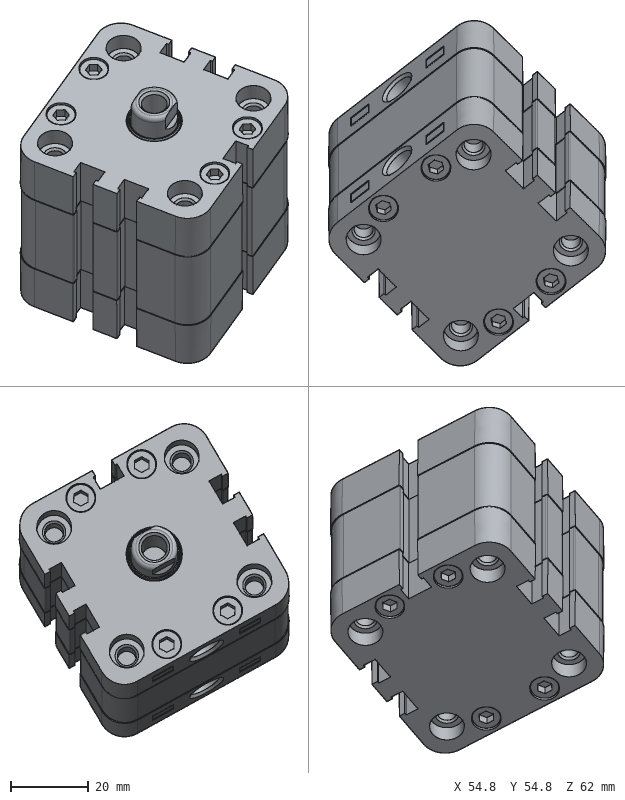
import cadquery as cq
import math

total_height = 62.0
cap_height = 14.5
body_height = 55.0
lower_joint_z = cap_height
upper_joint_z = body_height - cap_height

cap_width = 54.8
cap_draft = 0.1
cap_corner_radius = 6.8
barrel_width = 54.4
barrel_corner_radius = 6.8

slot_offset = 6.4
slot_depth = 5.45
slot_lip = 1.8
cap_slot_mouth = 5.75
cap_slot_chamber = 7.05
barrel_slot_narrowing = 0.3
barrel_lip_fillet = 0.25

mount_spacing = 37.95
mount_bore_diameter = 9.0
mount_bore_depth = 4.95
mount_chamfer_diameter = 6.0
mount_core_diameter = 4.9
mount_core_depth = 9.9

screw_x = 22.45
screw_y = 9.05
screw_recess_diameter = 7.7
screw_recess_depth = 4.95
screw_head_diameter = 7.5
screw_head_sink = 0.5
screw_head_chamfer = 0.1
socket_across_flats = 3.65
socket_depth = 2.5

port_setback = 8.0
port_diameter = 8.55
port_mouth_diameter = 10.2
port_end_diameter = 40.0

label_length = 6.15
label_height = 4.3
label_offset = 12.95
label_setback = 7.25
label_floor = 27.1

rod_diameter = 12.0
rod_tip_fillet = 1.25
rod_flats_width = 10.0
rod_flats_length = 4.5
rod_thread_diameter = 6.65
rod_thread_mouth_diameter = 8.0
rod_thread_depth = 12.4
seal_mouth_diameter = 14.5
seal_groove_diameter = 14.0
seal_lip_diameter = 13.7
seal_lip_top_diameter = 13.15
seal_groove_depth = 0.5
rod_clearance_diameter = 12.5
rod_clearance_depth = 2.5


def cylinder(diameter, bottom, top):
    return cq.Workplane("XY").workplane(offset=bottom).circle(diameter / 2).extrude(top - bottom)


def widening_cone(small_diameter, large_diameter, top):
    """45-degree cone that opens upward to the large diameter at height top."""
    depth = (large_diameter - small_diameter) / 2
    return (
        cq.Workplane("XY")
        .workplane(offset=top - depth)
        .circle(small_diameter / 2)
        .workplane(offset=depth)
        .circle(large_diameter / 2)
        .loft()
    )


def slot_section(mouth, chamber, height):
    """T-slot on the +Y side at x = 0, with its mouth open to the outside."""
    side = cap_width / 2
    chamber_depth = slot_depth - slot_lip
    neck = cq.Workplane("XY").box(mouth, slot_depth, height, centered=(True, False, False))
    cavity = cq.Workplane("XY").box(chamber, chamber_depth, height, centered=(True, False, False))
    return neck.union(cavity).translate((0, side - slot_depth, 0))


def all_slots(mouth, chamber, height):
    """Two slots on each Y side and one in the middle of the +X side."""
    slot = slot_section(mouth, chamber, height)
    slots = slot.rotate((0, 0, 0), (0, 0, 1), -90)
    for turn in (0, 180):
        for x in (-slot_offset, slot_offset):
            slots = slots.union(slot.translate((x, 0, 0)).rotate((0, 0, 0), (0, 0, 1), turn))
    return slots


def mounting_hole():
    floor = cap_height - mount_bore_depth
    hole = cylinder(mount_bore_diameter, floor, cap_height)
    hole = hole.union(cylinder(mount_core_diameter, cap_height - mount_core_depth, floor))
    return hole.union(widening_cone(mount_core_diameter, mount_chamfer_diameter, floor))


def screw_head():
    bottom = cap_height - screw_recess_depth
    top = cap_height - screw_head_sink
    head = cylinder(screw_head_diameter, bottom, top).faces(">Z").chamfer(screw_head_chamfer)
    socket = (
        cq.Workplane("XY")
        .workplane(offset=top - socket_depth)
        .polygon(6, socket_across_flats / math.cos(math.pi / 6))
        .extrude(socket_depth)
        .rotate((0, 0, 0), (0, 0, 1), 30)
    )
    return head.cut(socket)


def air_port():
    """Port along X, chamfered at the side face and closed by an upright cylinder."""
    side = cap_width / 2
    port = cylinder(port_diameter, 0, side)
    port = port.union(widening_cone(port_diameter, port_mouth_diameter, side))
    port = port.rotate((0, 0, 0), (0, 1, 0), -90).translate((0, 0, cap_height - port_setback))
    return port.cut(cylinder(port_end_diameter, 0, cap_height))


def label_pocket(y):
    return cq.Workplane("XY").box(
        cap_width / 2 - label_floor, label_length, label_height, centered=(False, True, True)
    ).translate((-cap_width / 2, y, cap_height - label_setback))


def end_cap():
    """Cap standing on its joint face at z = 0, with its outer end at the top."""
    draft_angle = math.degrees(math.atan(cap_draft / cap_height))
    outline = cq.Sketch().rect(cap_width, cap_width).vertices().fillet(cap_corner_radius)
    cap = cq.Workplane("XY").placeSketch(outline).extrude(cap_height, taper=draft_angle)
    cap = cap.cut(all_slots(cap_slot_mouth, cap_slot_chamber, cap_height))
    cap = cap.cut(air_port())

    for y in (-label_offset, label_offset):
        cap = cap.cut(label_pocket(y))

    for x in (-mount_spacing / 2, mount_spacing / 2):
        for y in (-mount_spacing / 2, mount_spacing / 2):
            cap = cap.cut(mounting_hole().translate((x, y, 0)))

    recess = cylinder(screw_recess_diameter, cap_height - screw_recess_depth, cap_height)
    for x in (-screw_x, screw_x):
        for y in (-screw_y, screw_y):
            cap = cap.cut(recess.translate((x, y, 0)))
            cap = cap.union(screw_head().translate((x, y, 0)))
    return cap


def seal_groove():
    """Chamfered recess around the rod, leaving a tapered lip with a flat top."""
    groove_floor = cap_height - seal_groove_depth
    lip = (
        cq.Workplane("XY")
        .workplane(offset=groove_floor)
        .circle(seal_lip_diameter / 2)
        .workplane(offset=seal_groove_depth)
        .circle(seal_lip_top_diameter / 2)
        .loft()
    )
    groove = cylinder(seal_groove_diameter, groove_floor, cap_height)
    groove = groove.union(widening_cone(seal_groove_diameter, seal_mouth_diameter, cap_height))
    return groove.cut(lip)


def rod_passage():
    """Close-fitting bearing below, with clearance around the rod at the outer end."""
    clearance = cylinder(rod_clearance_diameter, cap_height - rod_clearance_depth, cap_height)
    return cylinder(rod_diameter, 0, cap_height).union(clearance)


def make_upper_cap():
    return end_cap().cut(rod_passage()).cut(seal_groove()).translate((0, 0, upper_joint_z))


def make_lower_cap():
    return end_cap().rotate((0, 0, 0), (1, 0, 0), 180).translate((0, 0, lower_joint_z))


def make_barrel():
    height = upper_joint_z - lower_joint_z
    outline = cq.Sketch().rect(barrel_width, barrel_width).vertices().fillet(barrel_corner_radius)
    mouth = cap_slot_mouth - barrel_slot_narrowing
    chamber = cap_slot_chamber - barrel_slot_narrowing
    barrel = cq.Workplane("XY").placeSketch(outline).extrude(height)
    barrel = barrel.cut(all_slots(mouth, chamber, height))

    side = barrel_width / 2
    lip_edges = [(side, sign * mouth / 2) for sign in (-1, 1)]
    for y in (-side, side):
        for x in (-slot_offset, slot_offset):
            lip_edges += [(x + sign * mouth / 2, y) for sign in (-1, 1)]
    for x, y in lip_edges:
        barrel = barrel.edges(cq.NearestToPointSelector((x, y, height / 2))).fillet(barrel_lip_fillet)
    return barrel.translate((0, 0, lower_joint_z))


def rod_flat(side):
    """Wrench flat on one X side, running out over a 45-degree shoulder."""
    flat_x = rod_flats_width / 2
    rod_x = rod_diameter / 2
    shoulder_z = total_height - rod_flats_length
    return (
        cq.Workplane("XZ")
        .moveTo(side * flat_x, total_height)
        .lineTo(side * flat_x, shoulder_z)
        .lineTo(side * rod_x, shoulder_z - (rod_x - flat_x))
        .lineTo(side * rod_x, total_height)
        .close()
        .extrude(rod_x, both=True)
    )


def make_rod():
    rod = cylinder(rod_diameter, upper_joint_z, total_height).faces(">Z").edges().fillet(rod_tip_fillet)
    for side in (-1, 1):
        rod = rod.cut(rod_flat(side))
    rod = rod.cut(cylinder(rod_thread_diameter, total_height - rod_thread_depth, total_height))
    return rod.cut(widening_cone(rod_thread_diameter, rod_thread_mouth_diameter, total_height))


lower_cap = make_lower_cap()
barrel = make_barrel()
upper_cap = make_upper_cap()
rod = make_rod()

result = cq.Compound.makeCompound([lower_cap.val(), barrel.val(), upper_cap.val(), rod.val()])